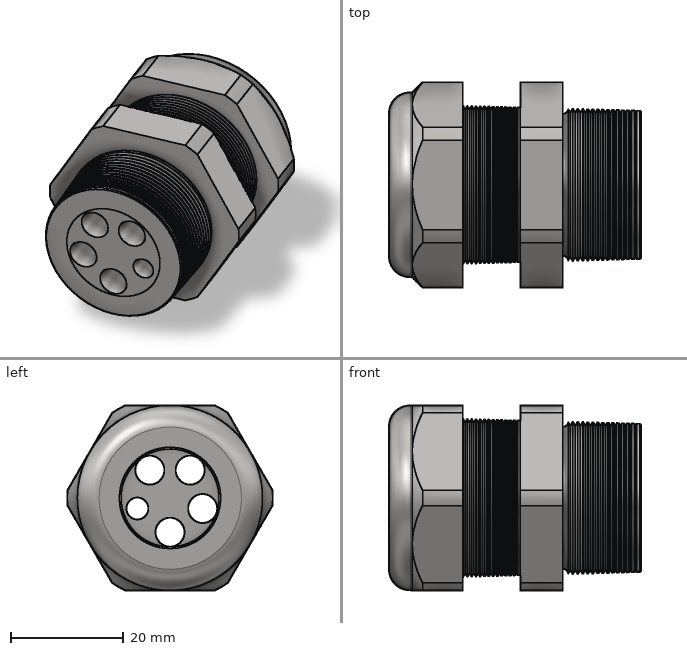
import cadquery as cq
import math


LENGTH = 44.95

ACROSS_FLATS = 33.0
CORNER_RADIUS = 36.65 / 2
CAP_END = 13.17
COLLAR_START = 23.42
COLLAR_END = 31.0

DOME_RADIUS = ACROSS_FLATS / 2
DOME_ROUNDING = 3.8
DOME_BAND_END = 4.2

TAPER = 1 / 32
HALF_FLANK_ANGLE = 30.0
CUTTER_MARGIN = 0.45

MIDDLE_THREAD_RADIUS = 14.1
MIDDLE_ROOT_RADIUS = 13.45
MIDDLE_FIRST_GROOVE = 13.62
MIDDLE_LAST_GROOVE = 22.75
MIDDLE_GROOVES = 13

END_THREAD_RADIUS = 13.62
END_ROOT_RADIUS = 12.85
END_FIRST_GROOVE = 32.33
END_LAST_GROOVE = 43.93
END_GROOVES = 14
NECK_FILLET = 0.95
END_CHAMFER = 0.22

BORE_RADIUS = 9.05
RECESS_RADIUS = 8.7
RECESS_DEPTH = 0.5
HOLE_CIRCLE_RADIUS = 6.1
HOLE_COUNT = 5
LARGE_HOLE_RADIUS = 2.55
SMALL_HOLE_RADIUS = 1.95
SMALL_HOLE_INDEX = 1


def revolve_about_x(profile):
    """Turn a closed profile drawn as (x, radius) once around the X axis."""
    return profile.close().revolve(360, (0, 0, 0), (1, 0, 0))


def cylinder(start, end, radius):
    return cq.Workplane("YZ").workplane(offset=start).circle(radius).extrude(end - start)


def hexagon(start, end):
    """Hexagonal prism with two flats facing up and down."""
    across_corners = ACROSS_FLATS / math.cos(math.radians(30))
    return cq.Workplane("YZ").workplane(offset=start).polygon(6, across_corners).extrude(end - start)


def make_cap():
    """Hexagon with a domed, chamfered front."""
    face_radius = DOME_RADIUS - DOME_ROUNDING
    bulge = DOME_ROUNDING * math.sin(math.radians(45))
    cone_end = DOME_BAND_END + CORNER_RADIUS - DOME_RADIUS
    envelope = revolve_about_x(
        cq.Workplane("XY")
        .lineTo(0, face_radius)
        .threePointArc((DOME_ROUNDING - bulge, face_radius + bulge), (DOME_ROUNDING, DOME_RADIUS))
        .lineTo(DOME_BAND_END, DOME_RADIUS)
        .lineTo(cone_end, CORNER_RADIUS)
        .lineTo(CAP_END, CORNER_RADIUS)
        .lineTo(CAP_END, 0)
    )
    return hexagon(0, CAP_END).intersect(envelope)


def make_collar():
    """Hexagon with rounded corners between the two threads."""
    envelope = cylinder(COLLAR_START, COLLAR_END, CORNER_RADIUS)
    return hexagon(COLLAR_START, COLLAR_END).intersect(envelope)


def cut_grooves(blank, outer_radius, root_radius, first, last, count):
    """Cut evenly spaced V rings whose roots all lie at the same radius."""
    cutter_radius = outer_radius + CUTTER_MARGIN
    half_width = (cutter_radius - root_radius) * math.tan(math.radians(HALF_FLANK_ANGLE))
    pitch = (last - first) / (count - 1)
    for i in range(count):
        root = first + i * pitch
        groove = revolve_about_x(
            cq.Workplane("XY")
            .moveTo(root, root_radius)
            .lineTo(root + half_width, cutter_radius)
            .lineTo(root - half_width, cutter_radius)
        )
        blank = blank.cut(groove)
    return blank


def make_middle_thread():
    rear_radius = MIDDLE_THREAD_RADIUS - TAPER * (COLLAR_START - CAP_END)
    blank = revolve_about_x(
        cq.Workplane("XY")
        .moveTo(CAP_END, 0)
        .lineTo(CAP_END, MIDDLE_THREAD_RADIUS)
        .lineTo(COLLAR_START, rear_radius)
        .lineTo(COLLAR_START, 0)
    )
    return cut_grooves(
        blank,
        MIDDLE_THREAD_RADIUS,
        MIDDLE_ROOT_RADIUS,
        MIDDLE_FIRST_GROOVE,
        MIDDLE_LAST_GROOVE,
        MIDDLE_GROOVES,
    )


def make_end_thread():
    """Thread that starts with a concave fillet at the collar and ends with a chamfer."""
    thread_start = COLLAR_END + NECK_FILLET
    fillet_run = NECK_FILLET * math.sin(math.radians(45))
    rear_radius = END_THREAD_RADIUS - TAPER * (LENGTH - thread_start)
    blank = revolve_about_x(
        cq.Workplane("XY")
        .moveTo(COLLAR_END, 0)
        .lineTo(COLLAR_END, END_THREAD_RADIUS - NECK_FILLET)
        .threePointArc(
            (COLLAR_END + fillet_run, END_THREAD_RADIUS - fillet_run), (thread_start, END_THREAD_RADIUS)
        )
        .lineTo(LENGTH - END_CHAMFER, rear_radius + TAPER * END_CHAMFER)
        .lineTo(LENGTH, rear_radius - END_CHAMFER)
        .lineTo(LENGTH, 0)
    )
    return cut_grooves(
        blank,
        END_THREAD_RADIUS,
        END_ROOT_RADIUS,
        END_FIRST_GROOVE,
        END_LAST_GROOVE,
        END_GROOVES,
    )


def make_housing():
    outside = make_cap().union(make_middle_thread()).union(make_collar()).union(make_end_thread())
    return outside.cut(cylinder(0, LENGTH, BORE_RADIUS))


def make_insert():
    """Plug filling the bore, with a shallow front recess and a ring of cable holes."""
    insert = cylinder(0, LENGTH, BORE_RADIUS).cut(cylinder(0, RECESS_DEPTH, RECESS_RADIUS))
    for i in range(HOLE_COUNT):
        angle = math.radians(-90 + i * 360 / HOLE_COUNT)
        center = (HOLE_CIRCLE_RADIUS * math.cos(angle), HOLE_CIRCLE_RADIUS * math.sin(angle))
        radius = SMALL_HOLE_RADIUS if i == SMALL_HOLE_INDEX else LARGE_HOLE_RADIUS
        insert = insert.cut(cq.Workplane("YZ").center(*center).circle(radius).extrude(LENGTH))
    return insert


housing = make_housing()
insert = make_insert()
result = cq.Compound.makeCompound([housing.val(), insert.val()])